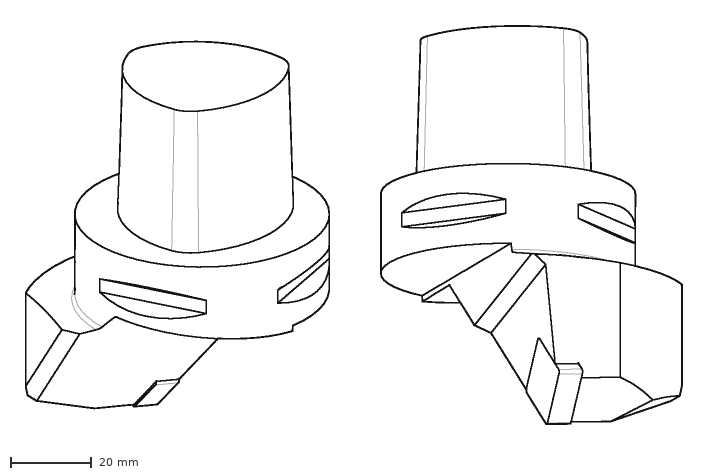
import cadquery as cq
import math


shank_height = 38.0
lobe_offset = 14.7
lobe_radius_base = 8.8
taper_inset = 1.2
flank_reach_base = 20.4
lobe_angles = (90, 210, 330)

flange_radius = 31.5
flange_bottom = -21.8
slot_length = 29.3
slot_floor_height = 3.6
slot_mouth_height = 8.0
slot_middle = -10.9
slot_angles = (45, 135, 225, 315)

neck_radius = 32.4
neck_bottom = -22.8
cone_angle = 15.0
cone_radius = 62.8
head_bottom = -69.1
head_radius = 44.8
front_face = -37.9
side_top = (-43.4, 5.2)
side_bottom_y = -16.8
outline_back = 20.9
outline_right = 12.6

insert_side = 15.9
insert_thickness = 6.3
insert_nose_radius = 0.8
insert_center_x = -34.1
insert_center_z = -55.8
rake_slope = 0.1
insert_center_y = 1.0
insert_center = (insert_center_x, insert_center_y, insert_center_z)
rake_normal = (-rake_slope, 1, -rake_slope)

upper_rake_shift = 3.1
step_point = (-43.2, 2.9, -28.3)
step_normal = (0.29, -0.81, 1.0)
rake_roof = -20.3

back_point = (-22.8, 0, -55.0)
back_normal = (1, 0, -1)
back_roof_slope = 0.105
back_edge_point = (-24.2, front_face, -51.9)
back_edge_normal = (1, -1.5, -1)
flank_point = (-33.0, -18.6, -63.6)
flank_normal = (-1, -0.185, -1)
heel_normal = (-0.09, -0.51, -1)

space_size = 314.2


def half_space(point, normal):
    """Block filling the space on the side of a plane that its normal points to."""
    plane = cq.Plane(origin=point, normal=normal)
    return cq.Workplane(plane).rect(space_size, space_size).extrude(space_size)


def polar(radius, degrees):
    angle = math.radians(degrees)
    return (radius * math.cos(angle), radius * math.sin(angle))


def shank_wire(z, inset):
    """Closed outline of three lobe arcs joined by three tangent flank arcs."""
    lobe_radius = lobe_radius_base - inset
    flank_reach = flank_reach_base - inset
    excess = lobe_offset + lobe_radius - flank_reach
    flank_offset = excess * (2 * lobe_offset - excess) / (lobe_offset - 2 * excess)
    lobe_half_angle = 60 - math.degrees(math.atan2(
        lobe_offset * math.sin(math.radians(60)),
        flank_offset + lobe_offset * math.cos(math.radians(60))))

    def lobe_point(lobe, turn):
        center = polar(lobe_offset, lobe)
        rim = polar(lobe_radius, lobe + turn)
        return cq.Vector(center[0] + rim[0], center[1] + rim[1], z)

    edges = []
    for lobe in lobe_angles:
        start = lobe_point(lobe, -lobe_half_angle)
        tip = lobe_point(lobe, 0)
        end = lobe_point(lobe, lobe_half_angle)
        flank = cq.Vector(*polar(flank_reach, lobe + 60), z)
        next_start = lobe_point(lobe + 120, -lobe_half_angle)
        edges.append(cq.Edge.makeThreePointArc(start, tip, end))
        edges.append(cq.Edge.makeThreePointArc(end, flank, next_start))
    return cq.Wire.assembleEdges(edges)


def make_shank():
    wires = [shank_wire(0, 0), shank_wire(shank_height, taper_inset)]
    return cq.Workplane(cq.Solid.makeLoft(wires, True))


def make_flange():
    flange = cq.Workplane("XY").circle(flange_radius).extrude(flange_bottom)
    floor_distance = math.sqrt(flange_radius ** 2 - (slot_length / 2) ** 2)
    floor = slot_floor_height / 2
    mouth = slot_mouth_height / 2
    slot = (
        cq.Workplane("XZ", origin=(0, 0, slot_middle))
        .moveTo(floor_distance, -floor)
        .lineTo(flange_radius, -mouth)
        .lineTo(flange_radius, mouth)
        .lineTo(floor_distance, floor)
        .close()
        .extrude(slot_length / 2, both=True)
    )
    for angle in slot_angles:
        flange = flange.cut(slot.rotate((0, 0, 0), (0, 0, 1), angle))
    return flange


def make_head_blank():
    """Head outline limited from above by a cone that blends into the flange."""
    side_bottom = (-math.sqrt(head_radius ** 2 - side_bottom_y ** 2), side_bottom_y)
    side_lean = (side_bottom[0] - side_top[0]) / (side_bottom[1] - side_top[1])
    side_back = (side_top[0] + side_lean * (outline_back - side_top[1]), outline_back)
    front_corner = (-math.sqrt(head_radius ** 2 - front_face ** 2), front_face)
    start_angle = math.degrees(math.atan2(side_bottom[1], side_bottom[0]))
    end_angle = math.degrees(math.atan2(front_corner[1], front_corner[0]))
    outline = (
        cq.Workplane("XY", origin=(0, 0, flange_bottom))
        .moveTo(*side_back)
        .lineTo(*side_bottom)
        .threePointArc(polar(head_radius, (start_angle + end_angle) / 2), front_corner)
        .lineTo(outline_right, front_face)
        .lineTo(outline_right, outline_back)
        .close()
        .extrude(head_bottom - flange_bottom)
    )
    slope = math.radians(cone_angle)
    cone_drop = (cone_radius - neck_radius) * math.tan(slope)
    cone = (
        cq.Workplane("XZ")
        .moveTo(0, flange_bottom)
        .lineTo(flange_radius, flange_bottom)
        .spline([(neck_radius, neck_bottom)], includeCurrent=True,
                tangents=[(0, -1), (math.cos(slope), -math.sin(slope))])
        .lineTo(cone_radius, neck_bottom - cone_drop)
        .lineTo(cone_radius, head_bottom)
        .lineTo(0, head_bottom)
        .close()
        .revolve(360, (0, 0, 0), (0, 1, 0))
    )
    return outline.intersect(cone)


def rake_cut():
    """Space in front of the lower and upper rake faces, with the step between them."""
    upper_point = (insert_center_x, insert_center_y + upper_rake_shift, insert_center_z)
    upper = half_space(upper_point, rake_normal)
    below_step = half_space(step_point, tuple(-n for n in step_normal))
    lower = half_space(insert_center, rake_normal).intersect(below_step)
    below_roof = half_space((0, 0, rake_roof), (0, 0, -1))
    return upper.union(lower).intersect(below_roof)


def back_cut():
    """Slanted clearance behind the tip, with a roof that slopes across the flange."""
    roof = half_space((0, 0, rake_roof), (0, -back_roof_slope, -1))
    return half_space(back_point, back_normal).intersect(roof)


def make_insert():
    plane = cq.Plane(origin=insert_center, xDir=(1, 0, -1), normal=rake_normal)
    return (
        cq.Workplane(plane)
        .rect(insert_side, insert_side)
        .extrude(-insert_thickness)
        .edges("|(%f, %f, %f)" % rake_normal)
        .fillet(insert_nose_radius)
    )


def make_holder(insert):
    holder = make_flange().union(make_head_blank())
    holder = holder.cut(rake_cut())
    holder = holder.cut(back_cut())
    below_flange = half_space((0, 0, flange_bottom), (0, 0, -1))
    back_edge = half_space(back_edge_point, back_edge_normal)
    holder = holder.cut(back_edge.intersect(below_flange))
    holder = holder.cut(half_space(flank_point, flank_normal).intersect(below_flange))
    holder = holder.cut(half_space(flank_point, heel_normal).intersect(below_flange))
    return holder.union(make_shank()).cut(insert)


insert = make_insert()
holder = make_holder(insert)
result = cq.Compound.makeCompound([holder.val(), insert.val()])